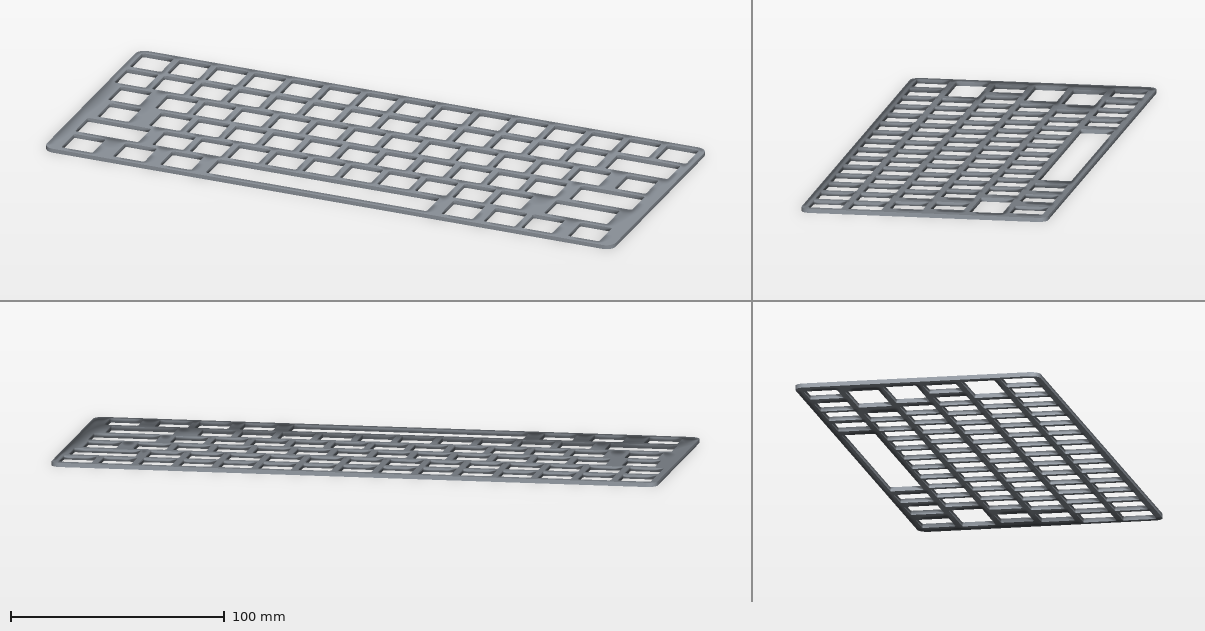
import cadquery as cq

KEY_UNIT = 19.0

KEY_ROWS = [
    [1] * 15,
    [1] * 13 + [2],
    [1.5] + [1] * 12 + [1.5],
    [1.75] + [1] * 11 + [2.25],
    [2.25] + [1] * 10 + [2.75],
    [1.5, 1.25, 1.25, 6.25, 1.25, 1, 1, 1.5],
]
GRID_LENGTH = sum(KEY_ROWS[0]) * KEY_UNIT
GRID_WIDTH = len(KEY_ROWS) * KEY_UNIT

BORDER = 1.6
PLATE_LENGTH = GRID_LENGTH + 2 * BORDER
PLATE_WIDTH = GRID_WIDTH + 2 * BORDER
PLATE_THICKNESS = 2.0
PLATE_CORNER_RADIUS = 4.75

OPENING_SIZE = 16.0
WIDE_OPENING_LENGTH = 2 * OPENING_SIZE
SPACE_OPENING_LENGTH = 7 * OPENING_SIZE
OPENING_CORNER_RADIUS = 1.0

WIDE_KEY_UNITS = 2
SPACE_KEY_UNITS = 6.25


def make_plate():
    """Rounded rectangular plate with its bottom face at Z = 0."""
    return (
        cq.Workplane("XY")
        .rect(PLATE_LENGTH, PLATE_WIDTH)
        .extrude(PLATE_THICKNESS)
        .edges("|Z")
        .fillet(PLATE_CORNER_RADIUS)
    )


def opening_length(key_width):
    """Length along X of the opening for a key of the given width in units."""
    if key_width >= SPACE_KEY_UNITS:
        return SPACE_OPENING_LENGTH
    if key_width >= WIDE_KEY_UNITS:
        return WIDE_OPENING_LENGTH
    return OPENING_SIZE


def opening_centers():
    """Centers of the key openings, grouped by opening length."""
    centers = {}
    y = (GRID_WIDTH - KEY_UNIT) / 2
    for key_widths in KEY_ROWS:
        left_edge = -GRID_LENGTH / 2
        for key_width in key_widths:
            key_length = key_width * KEY_UNIT
            center = (left_edge + key_length / 2, y)
            centers.setdefault(opening_length(key_width), []).append(center)
            left_edge += key_length
        y -= KEY_UNIT
    return centers


def make_openings(length, centers):
    """Rounded through-cutters of one length, one at each center."""
    return (
        cq.Workplane("XY")
        .pushPoints(centers)
        .rect(length, OPENING_SIZE)
        .extrude(PLATE_THICKNESS)
        .edges("|Z")
        .fillet(OPENING_CORNER_RADIUS)
    )


result = make_plate()
for cutter_length, cutter_centers in opening_centers().items():
    result = result.cut(make_openings(cutter_length, cutter_centers))